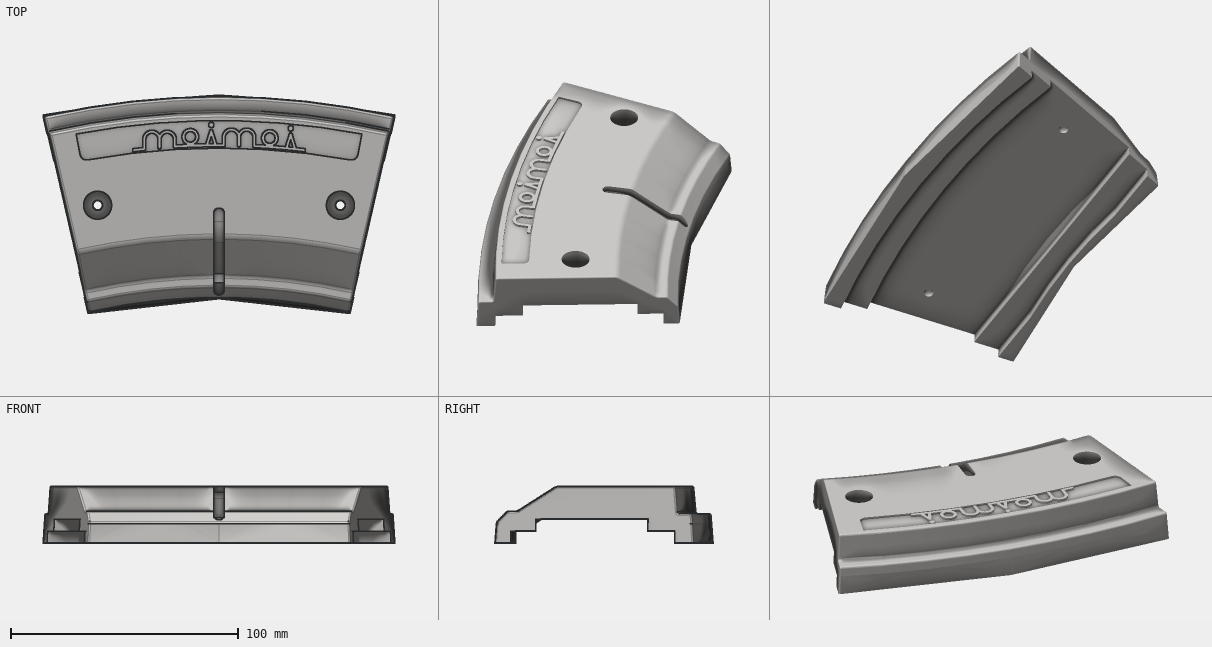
import cadquery as cq
import math


half_width = 77.39
half_angle = 360 / 28
overall_depth = 95.87
height = 24.89
end_draft = 3.0
end_round = 0.7

outer_radius = half_width / math.sin(math.radians(half_angle))
inner_end_y = outer_radius - overall_depth
inner_radius = inner_end_y / math.cos(math.radians(half_angle))
ring_depth = outer_radius - inner_radius

base_height = 8.4
base_front_depth = 0.5
base_rear_depth = 88.75

front_wall_top = (0.55, 9.1)
nose_front = (5.4, 14.0)
nose_back = (9.9, 14.0)
slope_top = (27.3, height)
rear_wall_top = (80.8, height)
rear_wall_foot = (81.9, 12.8)
rear_edge = (88.4, 12.8)
front_round = 1.5
nose_round = 1.6
slope_foot_round = 3.1
slope_top_round = 4.5
rear_round = 1.0

step_z = 5.25
ceiling_z = 10.5
lip_front_offset = 7.0
ceiling_front_offset = 18.1
ceiling_back_depth = 68.8
lip_back_depth = 81.0
lip_thickness = 2.7
skin_step_depth = 6.4
skin_ceiling_depth = 14.0

screw_x = 53.3
screw_y = inner_end_y + 47.5
screw_diameter = 4.19
counterbore_diameter = 12.29
counterbore_depth = 10.0

groove_width = 4.7
groove_floor_z = 22.2
groove_nose_z = 11.2
groove_front_depth = 1.6
groove_front_z = 7.0
groove_nose_front_depth = 7.1
groove_nose_back_depth = 10.9
groove_slope_top_depth = 29.0
groove_back_depth = 39.8
groove_bend_radius = 18.0

label_inner_depth = 66.1
label_outer_depth = 78.2
label_half_angle = 10.74
label_corner_radius = 3.0
plate_thickness = 1.0
letter_height = 1.0
label_recess = plate_thickness + letter_height

stroke = 1.4
letter_bottom = height - letter_height
baseline_radius = inner_radius + 67.4
script_half_length = 37.9
word_starts = (-26.1, 8.8)
arch_radius = 3.35
arch_rise = 3.6
ring_offset = 13.5
ring_radius = 3.0
ring_rise = 3.9
peak_offset = 22.7
peak_rise = 6.2
peak_half_width = 1.9
dot_rise = 8.9
dot_radius = 1.2

clearance = 1.0
overrun = 1.1
reach = 2 * outer_radius
edge_margin = 0.01


def section_face(points, rounds=()):
    """Face in the YZ plane from (depth, z) points; rounds lists (point, radius) pairs."""
    wire = cq.Wire.makePolygon([cq.Vector(0, inner_radius + d, z) for d, z in points], close=True)
    face = cq.Face.makeFromWires(wire)
    for (depth, z), radius in rounds:
        spot = cq.Vector(0, inner_radius + depth, z)
        corner = min(face.Vertices(), key=lambda vertex: (vertex.Center() - spot).Length)
        face = face.fillet2D(radius, [corner])
    return face


def revolve_section(face, angle):
    """Solid swept by a YZ face through the angle on each side of X = 0."""
    axis_start = cq.Vector(0, 0, 0)
    axis_end = cq.Vector(0, 0, 1)
    swept = cq.Solid.revolve(face, 2 * angle, axis_start, axis_end)
    return cq.Workplane(swept.rotate(axis_start, axis_end, -angle))


def sector(r_inner, r_outer, start, end, bottom, thickness):
    """Flat ring sector between two angles measured from +Y towards +X."""
    def at(radius, angle):
        turn = math.radians(angle)
        return radius * math.sin(turn), radius * math.cos(turn)

    middle = (start + end) / 2
    return (
        cq.Workplane("XY", origin=(0, 0, bottom))
        .moveTo(*at(r_inner, start))
        .threePointArc(at(r_inner, middle), at(r_inner, end))
        .lineTo(*at(r_outer, end))
        .threePointArc(at(r_outer, middle), at(r_outer, start))
        .close()
        .extrude(thickness)
    )


def base_outline(side, front_depth, rear_depth, z, straight):
    """Wire of one level of a half-ring at height z, with its two end corners rounded."""
    turn = math.radians(side * half_angle)
    radial = cq.Vector(math.sin(turn), math.cos(turn), 0)
    inset = cq.Vector(math.cos(turn), -math.sin(turn), 0) * (-side * z * math.tan(math.radians(end_draft)))
    up = cq.Vector(0, 0, z)

    def wall(depth):
        """Start at X = 0, halfway point and end of a wall."""
        radius = inner_radius + depth
        start = cq.Vector(0, radius, 0)
        end = radial * math.sqrt(radius**2 - inset.Length**2) + inset
        middle = (start + end).normalized() * radius
        return start + up, middle + up, end + up

    inner_start, inner_middle, inner_end = wall(front_depth)
    outer_start, outer_middle, outer_end = wall(rear_depth)
    if straight:
        inner_wall = cq.Edge.makeLine(inner_start, inner_end)
        outer_wall = cq.Edge.makeLine(outer_end, outer_start)
    else:
        inner_wall = cq.Edge.makeThreePointArc(inner_start, inner_middle, inner_end)
        outer_wall = cq.Edge.makeThreePointArc(outer_end, outer_middle, outer_start)
    end_wall = cq.Edge.makeLine(inner_end, outer_end)
    seam = cq.Edge.makeLine(outer_start, inner_start)
    face = cq.Face.makeFromWires(cq.Wire.assembleEdges([inner_wall, end_wall, outer_wall, seam]))
    corners = [vertex for vertex in face.Vertices() if abs(vertex.X) > clearance]
    return face.fillet2D(end_round, corners).outerWire()


def make_base(side):
    """Lower half-ring on one side (-1 or 1): straight walls at the foot blend into arcs above."""
    foot = base_outline(side, 0, ring_depth, 0, straight=True)
    shoulder = base_outline(side, base_front_depth, base_rear_depth, base_height, straight=False)
    return cq.Workplane(cq.Solid.makeLoft([foot, shoulder], True))


def finish_ends(body):
    """Trim a body to the drafted end planes and round the outline of each cut."""
    trimmer = (
        cq.Workplane("XY")
        .box(reach, reach, reach, centered=(False, True, True))
        .rotate((0, 0, 0), (0, 1, 0), -end_draft)
        .rotate((0, 0, 0), (0, 0, 1), -half_angle)
    )
    body = body.cut(trimmer).cut(trimmer.mirror("YZ"))
    ends = [face for face in body.faces("%PLANE").vals() if abs(face.normalAt().x) > 0.5]
    outline = [edge for face in ends for edge in face.Edges()]
    rounded = [edge for edge in outline if edge.Center().z > base_height + edge_margin]
    return body.newObject(rounded).fillet(end_round)


def make_blank():
    """Solid ring sector with drafted, rounded ends."""
    rounds = [
        (front_wall_top, front_round),
        (nose_front, nose_round),
        (nose_back, slope_foot_round),
        (slope_top, slope_top_round),
        (rear_wall_top, rear_round),
        (rear_wall_foot, rear_round),
        (rear_edge, rear_round),
    ]
    outline = [(base_front_depth, base_height), front_wall_top, nose_front, nose_back, slope_top]
    outline += [rear_wall_top, rear_wall_foot, rear_edge, (base_rear_depth, base_height)]
    blank = finish_ends(revolve_section(section_face(outline, rounds), overrun * half_angle))
    for side in (-1, 1):
        blank = blank.union(make_base(side))
    return blank


def make_recess():
    """Two-level recess with a straight front and a curved back, sparing the front skin."""
    def level(front_offset, back_depth, top):
        front = cq.Workplane("XY").box(reach, inner_end_y + front_offset, reach, centered=(True, False, True))
        disc = cq.Workplane("XY", origin=(0, 0, -clearance)).circle(inner_radius + back_depth)
        return disc.extrude(top + clearance).cut(front)

    recess = level(lip_front_offset, lip_back_depth, step_z)
    recess = recess.union(level(ceiling_front_offset, ceiling_back_depth, ceiling_z))
    skin = [
        (-lip_thickness, -clearance),
        (lip_thickness, -clearance),
        (lip_thickness, step_z),
        (skin_step_depth, step_z),
        (skin_ceiling_depth, ceiling_z),
        (-lip_thickness, ceiling_z),
    ]
    return recess.cut(revolve_section(section_face(skin), 2 * half_angle))


def make_groove():
    """Round-ended slot across the slope whose floor follows the section."""
    floor_bend = (groove_slope_top_depth, groove_floor_z)
    above = height + clearance
    points = [
        (groove_front_depth, above),
        (groove_front_depth, groove_front_z),
        (groove_nose_front_depth, groove_nose_z),
        (groove_nose_back_depth, groove_nose_z),
        floor_bend,
        (groove_back_depth, groove_floor_z),
        (groove_back_depth, above),
    ]
    side = section_face(points, [(floor_bend, groove_bend_radius)])
    start = side.translate(cq.Vector(-groove_width / 2, 0, 0))
    body = cq.Workplane(cq.Solid.extrudeLinear(start, cq.Vector(groove_width, 0, 0)))
    length = groove_back_depth - groove_front_depth
    slot = (
        cq.Workplane("XY")
        .center(0, inner_radius + groove_front_depth + length / 2)
        .slot2D(length, groove_width, 90)
        .extrude(above)
    )
    return body.intersect(slot)


def make_label(bottom, thickness):
    """Label outline with its two inner corners rounded."""
    inner = inner_radius + label_inner_depth
    outer = inner_radius + label_outer_depth
    label = sector(inner, outer, -label_half_angle, label_half_angle, bottom, thickness)
    corner_y = inner * math.cos(math.radians(label_half_angle))
    inner_corners = cq.selectors.BoxSelector((-reach, 0, -reach), (reach, corner_y + clearance, reach))
    return label.edges("|Z").edges(inner_corners).fillet(label_corner_radius)


def drill(diameter, bottom):
    """Vertical cutters at both screw positions, from the given bottom up through the top."""
    plane = cq.Workplane("XY", origin=(0, 0, bottom))
    centers = [(-screw_x, screw_y), (screw_x, screw_y)]
    return plane.pushPoints(centers).circle(diameter / 2).extrude(height + clearance - bottom)


def make_housing():
    return (
        make_blank()
        .cut(make_recess())
        .cut(make_groove())
        .cut(make_label(height - label_recess, label_recess + clearance))
        .cut(drill(screw_diameter, 0))
        .cut(drill(counterbore_diameter, height - counterbore_depth))
    )


def baseline_y(x):
    return math.sqrt(baseline_radius**2 - x**2)


def bar(start, end):
    """Straight stroke with round ends."""
    (x0, y0), (x1, y1) = start, end
    length = math.hypot(x1 - x0, y1 - y0)
    angle = math.degrees(math.atan2(y1 - y0, x1 - x0))
    plane = cq.Workplane("XY", origin=((x0 + x1) / 2, (y0 + y1) / 2, letter_bottom))
    return plane.slot2D(length + stroke, stroke, angle).extrude(letter_height)


def ring(x, y, radius):
    """Closed round stroke."""
    plane = cq.Workplane("XY", origin=(x, y, letter_bottom))
    return plane.circle(radius + stroke / 2).circle(radius - stroke / 2).extrude(letter_height)


def arch(x, y):
    """Upper half of a round stroke."""
    size = 2 * (arch_radius + stroke)
    plane = cq.Workplane("XY", origin=(x, y, letter_bottom))
    return ring(x, y, arch_radius).intersect(plane.box(size, size, height, centered=(True, False, False)))


def baseline(x_start, x_end):
    """Stroke along the curved baseline."""
    start, end = (math.degrees(math.asin(x / baseline_radius)) for x in (x_start, x_end))
    half = stroke / 2
    return sector(baseline_radius - half, baseline_radius + half, start, end, letter_bottom, letter_height)


def word_strokes(x):
    """Strokes of one word: two arches on three legs, a ring, and a peak."""
    arch_y = baseline_y(x) + arch_rise
    strokes = [arch(x + side * arch_radius, arch_y) for side in (-1, 1)]
    for leg in (-1, 0, 1):
        leg_x = x + 2 * leg * arch_radius
        strokes.append(bar((leg_x, baseline_y(leg_x)), (leg_x, arch_y)))
    ring_x = x + ring_offset
    strokes.append(ring(ring_x, baseline_y(ring_x) + ring_rise, ring_radius))
    peak_x = x + peak_offset
    peak = (peak_x, baseline_y(peak_x) + peak_rise)
    for side in (-1, 1):
        foot_x = peak_x + side * peak_half_width
        strokes.append(bar((foot_x, baseline_y(foot_x)), peak))
    return strokes


def make_script():
    """Joined lettering standing on the label plate."""
    first, second = word_starts
    outer_leg = 2 * arch_radius
    strokes = word_strokes(first) + word_strokes(second)
    strokes += [
        baseline(-script_half_length, first - outer_leg),
        baseline(first + outer_leg, second - outer_leg),
        baseline(second + outer_leg, script_half_length),
    ]
    script = strokes[0]
    for piece in strokes[1:]:
        script = script.union(piece)
    return script


def make_dot(word_start):
    """Separate dot above the peak of one word."""
    x = word_start + peak_offset
    plane = cq.Workplane("XY", origin=(x, baseline_y(x) + dot_rise, letter_bottom))
    return plane.circle(dot_radius).extrude(letter_height)


housing = make_housing()
label_plate = make_label(height - label_recess, plate_thickness)
script = make_script()
dots = [make_dot(word_start) for word_start in word_starts]

result = cq.Compound.makeCompound(
    [housing.val(), label_plate.val(), script.val(), *[dot.val() for dot in dots]]
)